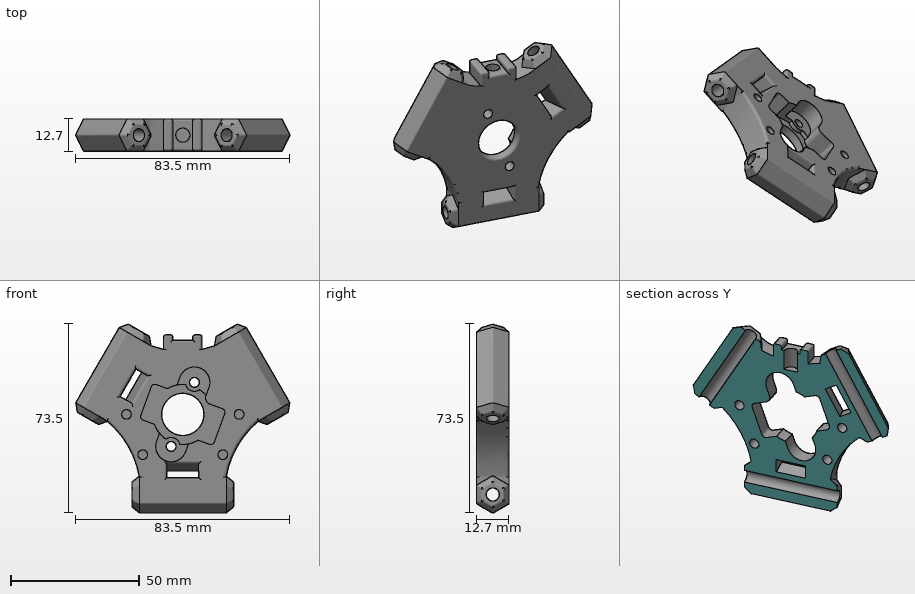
import cadquery as cq
import math

overall_width = 83.5
thickness = 12.7
edge_round = 1.0
bar_round = 0.75
arm_angles = (0, 120, 240)

bar_half_length = 17.0
bar_tip_length = 2.9
bar_tip_flats = 8.5
bar_bore_diameter = 5

scallop_floor = 24.65
scallop_end = 24.4

tab_width = 15
tab_top = 31.1
groove_width = 7.7
groove_floor = 29.0
tab_hole_diameter = 5.5
tab_hole_depth = 8.35

bore_diameter = 16.4
motor_tilt = 20
motor_length = 30.5
motor_width = 14.8
motor_corner_round = 1.5
motor_body_radius = 11.7
motor_depth = 8.7
ear_depth = 6.9
ear_radius = 6.0
ear_corner_round = 2.5
screw_distance = 13.3
screw_diameter = 3.8
screw_boss_radius = 3.5

pin_diameter = 3.8
pin_depth = 8.35
pin_places = ((22.0, 0), (15.6, -15.7))

window_angles = (0, 120)
window_length = 12.4
window_inner = 19.05
window_width = 5.3
window_slope = 15

front = -thickness / 2
back = thickness / 2
arm_turn = math.radians(60)
hex_corner = math.radians(30)
bar_corner = (thickness / 2 - bar_round) / math.cos(hex_corner) + bar_round
bar_distance = (overall_width / 2 - bar_half_length * math.cos(arm_turn)) / math.sin(arm_turn) - bar_corner


def turned(shape, angle):
    return shape.rotate((0, 0, 0), (0, 1, 0), angle)


def turned_point(x, z, angle):
    turn = math.radians(angle)
    return (x * math.cos(turn) + z * math.sin(turn), z * math.cos(turn) - x * math.sin(turn))


def face_plane(y):
    """Workplane parallel to the plate at y: its local axes are X and Z and it extrudes toward -Y."""
    return cq.Workplane("XZ", origin=(0, y, 0))


def hexagon(flats, offset=0):
    circumradius = flats / math.sqrt(3)
    outline = cq.Sketch().regularPolygon(circumradius, 6).vertices().fillet(bar_round)
    return outline.moved(cq.Location(cq.Vector(0, 0, offset)))


def hex_bar():
    axis = cq.Workplane("YZ", origin=(0, 0, -bar_distance))
    full_section = axis.placeSketch(hexagon(thickness)).extrude(bar_half_length)
    tip_start = hexagon(thickness, bar_half_length)
    tip_end = hexagon(bar_tip_flats, bar_half_length + bar_tip_length)
    tip = axis.placeSketch(tip_start, tip_end).loft(ruled=True)
    tip = tip.faces(">X").edges().fillet(bar_round)
    half = full_section.union(tip)
    return half.union(half.mirror("YZ"))


def bar_bore():
    length = 2 * (bar_half_length + bar_tip_length)
    axis = cq.Workplane("YZ", origin=(-length / 2, 0, -bar_distance))
    return axis.circle(bar_bore_diameter / 2).extrude(length)


def plate():
    """Middle of the plate, up to the ends of the scallops."""
    outline = face_plane(back).moveTo(bar_half_length, -scallop_end)
    for angle in arm_angles:
        outline = outline.lineTo(*turned_point(-bar_half_length, -scallop_end, angle))
        middle = turned_point(0, -scallop_floor, angle + 60)
        end = turned_point(bar_half_length, -scallop_end, angle + 120)
        outline = outline.threePointArc(middle, end)
    body = outline.close().extrude(thickness)
    lower_rims = body.faces("|Y").edges("%CIRCLE").filter(lambda rim: rim.Center().z < 0)
    return body.newObject(lower_rims.vals()).fillet(edge_round)


def arm_end():
    """Straight, sharp-edged stretch of the -Z arm between the scallops and the bar's axis."""
    start = cq.Workplane("XY", origin=(0, 0, -bar_distance))
    size = (2 * bar_half_length, thickness, bar_distance - scallop_end)
    return start.box(*size, centered=(True, True, False))


def cut_bore(body):
    opened = body.cut(face_plane(back).circle(bore_diameter / 2).extrude(thickness))
    back_rim = opened.faces(">Y").edges(cq.selectors.RadiusNthSelector(0))
    return back_rim.fillet(edge_round)


def tab():
    height = tab_top - scallop_floor
    block = cq.Workplane("XY", origin=(0, 0, scallop_floor)).box(
        tab_width, thickness, height, centered=(True, True, False))
    groove = cq.Workplane("XY", origin=(0, 0, groove_floor)).box(
        groove_width, thickness, height, centered=(True, True, False))
    grooved = block.cut(groove)
    rail_tops = grooved.faces(">Z").edges("|Y")
    end_rims = grooved.faces("|Y").edges("not(|Y)").filter(lambda rim: rim.Center().z > scallop_floor + 0.1)
    return grooved.newObject(rail_tops.vals() + end_rims.vals()).fillet(edge_round)


def tab_hole():
    top = cq.Workplane("XY", origin=(0, 0, groove_floor))
    return top.circle(tab_hole_diameter / 2).extrude(-tab_hole_depth)


def motor_pocket():
    body = face_plane(front + motor_depth).rect(motor_length, motor_width).extrude(motor_depth)
    body = body.edges("|Y").fillet(motor_corner_round)
    body = body.union(face_plane(front + motor_depth).circle(motor_body_radius).extrude(motor_depth))
    corner = face_plane(front + motor_depth).rect(motor_length, motor_length, centered=False).extrude(motor_depth)
    corner = corner.edges("|Y and <X and <Z").fillet(ear_corner_round)
    body = body.cut(corner.translate((ear_radius, 0, motor_width / 2)))
    screws = [(0, screw_distance), (0, -screw_distance)]
    bosses = face_plane(front + motor_depth).pushPoints(screws).circle(screw_boss_radius).extrude(motor_depth)
    ears = face_plane(front + ear_depth).slot2D(2 * (screw_distance + ear_radius), 2 * ear_radius, 90)
    ears = ears.extrude(ear_depth)
    screw_holes = face_plane(back).pushPoints(screws).circle(screw_diameter / 2).extrude(thickness)
    return turned(body.cut(bosses).union(ears).union(screw_holes), motor_tilt)


def pin_holes():
    places = [(side * x, z) for x, z in pin_places for side in (-1, 1)]
    return face_plane(front + pin_depth).pushPoints(places).circle(pin_diameter / 2).extrude(pin_depth)


def window():
    """Leaning window of the -Z arm."""
    lean = thickness * math.tan(math.radians(window_slope))
    outer = window_inner + window_width
    section = [(front, -window_inner), (back, -window_inner - lean), (back, -outer - lean), (front, -outer)]
    return cq.Workplane("YZ").polyline(section).close().extrude(window_length / 2, both=True)


def cut_window(body, angle):
    """Cut one window and round its rims on both faces of the plate."""
    opened = body.cut(turned(window(), angle))
    middle_x, middle_z = turned_point(0, -window_inner - window_width / 2, angle)
    reach = window_length

    def on_rim(edge):
        c = edge.Center()
        return math.hypot(c.x - middle_x, c.z - middle_z) < reach
    rims = opened.faces("|Y").edges("%LINE").filter(on_rim)
    return opened.newObject(rims.vals()).fillet(edge_round)


result = cut_bore(plate()).union(tab())
for angle in arm_angles:
    result = result.union(turned(arm_end().union(hex_bar()), angle))
for angle in window_angles:
    result = cut_window(result, angle)
for angle in arm_angles:
    result = result.cut(turned(bar_bore(), angle))
result = result.cut(motor_pocket()).cut(pin_holes()).cut(tab_hole())